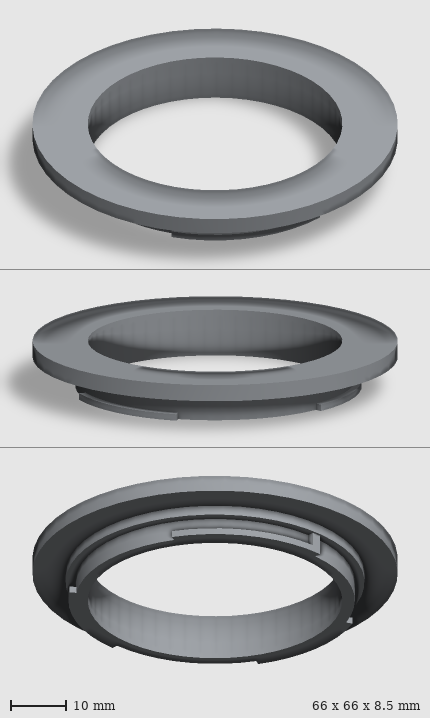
import cadquery as cq
import math

bore_diameter = 46.0
flange_diameter = 66.0
flange_thickness = 3.0
shoulder_diameter = 54.0
shoulder_thickness = 1.8
barrel_diameter = 50.5
total_height = 8.5
shoulder_bottom = total_height - flange_thickness - shoulder_thickness

tab_diameter = 53.0
tab_thickness = 1.2
short_tab_sweep = 52.6
rear_tab_end = 96.3
rear_tab_start = rear_tab_end - short_tab_sweep
left_tab_start = 157.8
left_tab_end = left_tab_start + short_tab_sweep
front_tab_start = 276.3
front_tab_end = 339.2

stop_sweep = 4.0
stop_start = front_tab_end - stop_sweep

wall_overlap = 0.5


def disc(diameter, bottom, height):
    """Solid cylinder on the Z axis."""
    return cq.Workplane("XY").workplane(offset=bottom).circle(diameter / 2).extrude(height)


def polar_point(radius, angle):
    """XY point at a radius and an angle in degrees from +X."""
    radians = math.radians(angle)
    return radius * math.cos(radians), radius * math.sin(radians)


def ring_sector(start, end, height):
    """Arc-shaped block on the barrel, rising from Z = 0, between two angles."""
    inner_radius = barrel_diameter / 2 - wall_overlap
    outer_radius = tab_diameter / 2
    middle = (start + end) / 2
    return (
        cq.Workplane("XY")
        .moveTo(*polar_point(inner_radius, start))
        .lineTo(*polar_point(outer_radius, start))
        .threePointArc(polar_point(outer_radius, middle), polar_point(outer_radius, end))
        .lineTo(*polar_point(inner_radius, end))
        .threePointArc(polar_point(inner_radius, middle), polar_point(inner_radius, start))
        .close()
        .extrude(height)
    )


def ring_body():
    """Barrel, shoulder and flange with the through bore."""
    barrel = disc(barrel_diameter, 0, total_height)
    shoulder = disc(shoulder_diameter, shoulder_bottom, shoulder_thickness)
    flange = disc(flange_diameter, total_height - flange_thickness, flange_thickness)
    bore = disc(bore_diameter, 0, total_height)
    return barrel.union(shoulder).union(flange).cut(bore)


result = ring_body()

tab_spans = [
    (rear_tab_start, rear_tab_end),
    (left_tab_start, left_tab_end),
    (front_tab_start, front_tab_end),
]
for tab_start, tab_end in tab_spans:
    result = result.union(ring_sector(tab_start, tab_end, tab_thickness))

result = result.union(ring_sector(stop_start, front_tab_end, shoulder_bottom))